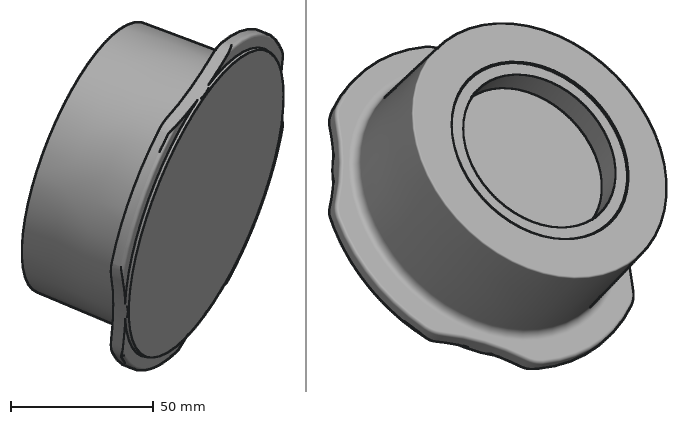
import cadquery as cq
import math

half_span = 59.8
total_length = 46.5
flange_back = 40.0
flange_front = 45.2

rim_radius = 63.5
corner_radius = 12.0
scallop_floor = 57.9
scallop_count = 4
back_edge_fillet = 1.2
rim_front_fillet = 1.2

disc_diameter = 116.3
disc_bend_position = 45.9
disc_bend_diameter = 116.0
disc_front_diameter = 115.5

plug_end_radius = 51.0
plug_root_radius = 51.7
plug_edge_fillet = 0.6
root_fillet = 3.0

pocket_diameter = 61.0
pocket_depth = 10.0
recess_depth = 0.5
recess_diameter = 70.8
recess_floor_diameter = 70.2


def polar(radius, angle):
    """Point (y, z) at an angle measured from the +Z axis towards +Y."""
    return (radius * math.sin(angle), radius * math.cos(angle))


def flange_outline():
    """Closed outline of the flange, starting at one end of a scallop arc."""
    corner_z = half_span - corner_radius
    corner_y = math.sqrt((rim_radius - corner_radius) ** 2 - corner_z**2)

    floor_rise = scallop_floor - corner_z
    scallop_radius = (corner_y**2 + floor_rise**2 - corner_radius**2) / (2 * (corner_radius - floor_rise))
    scallop_center_z = scallop_floor + scallop_radius

    scallop_angle = math.asin(corner_y / (scallop_radius + corner_radius))
    rim_angle = math.atan2(corner_y, corner_z)
    scallop_end_y = scallop_radius * math.sin(scallop_angle)
    scallop_end_z = scallop_center_z - scallop_radius * math.cos(scallop_angle)

    scallop_end = (math.hypot(scallop_end_y, scallop_end_z), math.atan2(scallop_end_y, scallop_end_z))
    corner_top = (math.hypot(corner_y, half_span), math.atan2(corner_y, half_span))
    rim_start = (rim_radius, rim_angle)

    def mirrored(point):
        return (point[0], -point[1])

    pitch = 2 * math.pi / scallop_count

    def place(point, turn):
        return polar(point[0], point[1] + turn)

    outline = cq.Workplane("YZ", origin=(flange_back, 0, 0)).moveTo(*place(mirrored(scallop_end), 0))
    for index in range(scallop_count):
        turn = index * pitch
        next_turn = turn + pitch
        outline = (
            outline.threePointArc(polar(scallop_floor, turn), place(scallop_end, turn))
            .threePointArc(place(corner_top, turn), place(rim_start, turn))
            .threePointArc(polar(rim_radius, turn + pitch / 2), place(mirrored(rim_start), next_turn))
            .threePointArc(place(mirrored(corner_top), next_turn), place(mirrored(scallop_end), next_turn))
        )
    return outline.close()


def cylinder(start, end, diameter):
    """Cylinder on the part axis between two X positions."""
    return cq.Workplane("YZ", origin=(start, 0, 0)).circle(diameter / 2).extrude(end - start)


def turned(outline):
    """Solid of revolution about the part axis from (x, radius) points."""
    start = (outline[0][0], 0)
    end = (outline[-1][0], 0)
    return cq.Workplane("XY").polyline([start, *outline, end]).close().revolve(360, (0, 0, 0), (1, 0, 0))


def make_flange():
    """Scalloped flange with its raised disc; the scallops also trim the disc."""
    blank = flange_outline().extrude(total_length - flange_back).faces("<X").edges().fillet(back_edge_fillet)
    rim = cylinder(flange_back, flange_front, 2 * rim_radius).faces(">X").edges().fillet(rim_front_fillet)
    disc = turned(
        [
            (flange_front, disc_diameter / 2),
            (disc_bend_position, disc_bend_diameter / 2),
            (total_length, disc_front_diameter / 2),
        ]
    )
    return blank.intersect(rim.union(disc))


def make_plug():
    """Tapered round plug with a rounded outer edge at its free end."""
    plug = turned([(0, plug_end_radius), (flange_back, plug_root_radius)])
    return plug.faces("<X").edges().fillet(plug_edge_fillet)


def root_edge(body):
    """The circle where the plug meets the back of the flange."""
    margin = 0.1
    reach = plug_root_radius + margin
    near_root = cq.selectors.BoxSelector(
        (flange_back - margin, -reach, -reach), (flange_back + margin, reach, reach), boundingbox=True
    )
    return body.edges(near_root)


body = make_plug().union(make_flange())
body = root_edge(body).fillet(root_fillet)

recess = turned([(0, recess_diameter / 2), (recess_depth, recess_floor_diameter / 2)])
pocket = cylinder(0, recess_depth + pocket_depth, pocket_diameter)

result = body.cut(recess).cut(pocket)